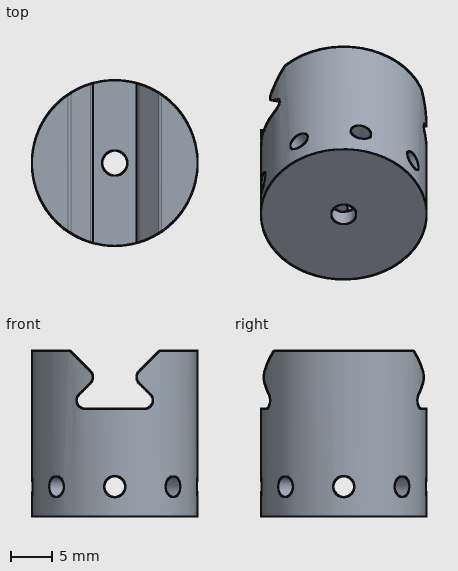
import cadquery as cq

body_diameter = 20.0
body_height = 20.0

slot_depth = 7.0
waist_depth = 3.2
waist_half_width = 2.2
mouth_half_width = waist_half_width + waist_depth
floor_half_width = waist_half_width + slot_depth - waist_depth
mouth_fillet = 0.5
waist_fillet = 1.0
floor_fillet = 1.0

axial_hole_diameter = 3.0

radial_hole_diameter = 2.5
radial_hole_height = 3.6
radial_hole_count = 8
radial_hole_pitch = 360.0 / radial_hole_count


def make_body():
    return cq.Workplane("XY").circle(body_diameter / 2).extrude(body_height)


def cut_slot(body):
    floor_z = body_height - slot_depth
    waist_z = body_height - waist_depth
    right_side = [
        (floor_half_width, floor_z),
        (waist_half_width, waist_z),
        (mouth_half_width, body_height),
    ]
    left_side = [(-x, z) for x, z in reversed(right_side)]
    cutter = (
        cq.Workplane("XZ")
        .polyline(right_side + left_side)
        .close()
        .extrude(body_diameter / 2, both=True)
    )
    return body.cut(cutter)


def round_slot_edges(body):
    edge_rounds = [
        (0.0, mouth_fillet),
        (waist_depth, waist_fillet),
        (slot_depth, floor_fillet),
    ]
    half_band = 0.1
    reach = body_diameter
    for depth, radius in edge_rounds:
        edge_z = body_height - depth
        band = cq.selectors.BoxSelector(
            (-reach, -reach, edge_z - half_band),
            (reach, reach, edge_z + half_band),
        )
        body = body.edges("|Y").edges(band).fillet(radius)
    return body


def drill_axial_hole(body):
    drill = cq.Workplane("XY").circle(axial_hole_diameter / 2).extrude(body_height)
    return body.cut(drill)


def drill_radial_holes(body):
    drill = (
        cq.Workplane("XZ")
        .center(0, radial_hole_height)
        .circle(radial_hole_diameter / 2)
        .extrude(body_diameter, both=True)
    )
    for index in range(radial_hole_count // 2):
        body = body.cut(drill.rotate((0, 0, 0), (0, 0, 1), index * radial_hole_pitch))
    return body


slotted_body = round_slot_edges(cut_slot(make_body()))
result = drill_radial_holes(drill_axial_hole(slotted_body))